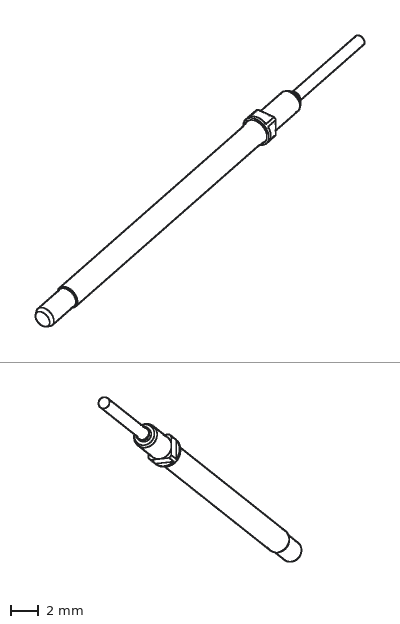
import cadquery as cq

length = 38.8
back_end = length / 2
front_end = -length / 2

pin_diameter = 0.85
pin_cone_diameter = 0.95
collar_diameter = 1.05
shoulder_diameter = 1.55
barrel_diameter = 1.8
flange_diameter = 2.3
press_taper_diameter = 1.95
plunger_diameter = 1.6

pin_cone_start = 7.72
collar_start = 7.95
shoulder_start = 8.3
barrel_start = 8.55
square_start = 11.5
flange_start = 12.45
flange_end = 12.7
press_taper_end = 13.45

square_width = barrel_diameter

plunger_length = 3.0
barrel_chamfer = 0.08
plunger_chamfer_length = 0.3
plunger_chamfer_depth = 0.15


def from_back(distance):
    """Y position at a distance from the pin end."""
    return back_end - distance


def turned_body():
    """Revolve the stepped half profile about the Y axis."""
    pin_radius = pin_diameter / 2
    pin_cone_radius = pin_cone_diameter / 2
    collar_radius = collar_diameter / 2
    shoulder_radius = shoulder_diameter / 2
    barrel_radius = barrel_diameter / 2
    flange_radius = flange_diameter / 2
    press_taper_radius = press_taper_diameter / 2
    plunger_radius = plunger_diameter / 2
    barrel_end = front_end + plunger_length

    profile = [
        (0, back_end),
        (pin_radius, back_end),
        (pin_radius, from_back(pin_cone_start)),
        (pin_cone_radius, from_back(collar_start)),
        (collar_radius, from_back(collar_start)),
        (collar_radius, from_back(shoulder_start)),
        (shoulder_radius, from_back(shoulder_start)),
        (barrel_radius, from_back(barrel_start)),
        (barrel_radius, from_back(flange_start)),
        (flange_radius, from_back(flange_start)),
        (flange_radius, from_back(flange_end)),
        (press_taper_radius, from_back(flange_end)),
        (barrel_radius, from_back(press_taper_end)),
        (barrel_radius, barrel_end + barrel_chamfer),
        (barrel_radius - barrel_chamfer, barrel_end),
        (plunger_radius, barrel_end),
        (plunger_radius, front_end + plunger_chamfer_length),
        (plunger_radius - plunger_chamfer_depth, front_end),
        (0, front_end),
    ]
    half_section = cq.Workplane("XY").polyline(profile).close()
    return half_section.revolve(360, (0, 0, 0), (0, 1, 0))


def square_section():
    """Square section with flats facing X and Z, its corners turned to the flange diameter."""
    back_plane = cq.Workplane("XZ", origin=(0, from_back(square_start), 0))
    square_length = flange_start - square_start
    block = back_plane.rect(square_width, square_width).extrude(square_length)
    envelope = back_plane.circle(flange_diameter / 2).extrude(square_length)
    return block.intersect(envelope)


result = turned_body().union(square_section())